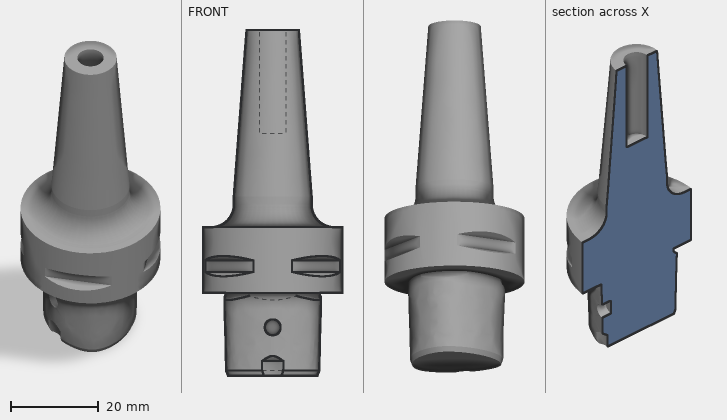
import cadquery as cq
import math

total_height = 79.0
flange_bottom = 18.95
flange_top = 34.0
cone_bottom = 40.9

flange_radius = 32.0 / 2
neck_radius = 8.9
nose_radius = 12.0 / 2
root_fillet = 5.05

bore_radius = 3.0
bore_depth = 23.7

lobe_height = 0.7
shank_mean_radius = 11.05
shank_end_mean_radius = 10.7
shank_tip_mean_radius = 10.2
taper_top = 16.5
tip_chamfer_height = 1.2

relief_radius = 10.8
relief_cylinder_bottom = 18.6
relief_corner_radius = 0.9
relief_ramp_radius = shank_mean_radius + lobe_height + 0.1

pocket_flat_distance = 14.0
pocket_mid_height = 25.05
pocket_floor_width = 2.6
pocket_mouth_width = 4.7
pocket_count = 4

side_hole_radius = 1.8
side_hole_height = 11.05
side_hole_depth = 2.8

notch_radius = 3.1
notch_offset = 11.7
notch_height = 3.3
notch_point_angle = 100.0


def upper_body():
    """Flange, filleted root and tapered nose as one turned solid."""
    fillet_top = flange_top + root_fillet
    arc_drop = root_fillet * math.sqrt(0.5)
    arc_middle = (neck_radius + root_fillet - arc_drop, fillet_top - arc_drop)
    return (
        cq.Workplane("XZ")
        .moveTo(0, flange_bottom)
        .lineTo(flange_radius, flange_bottom)
        .lineTo(flange_radius, flange_top)
        .lineTo(neck_radius + root_fillet, flange_top)
        .threePointArc(arc_middle, (neck_radius, fillet_top))
        .lineTo(neck_radius, cone_bottom)
        .lineTo(nose_radius, total_height)
        .lineTo(0, total_height)
        .close()
        .revolve(360, (0, 0, 0), (0, 1, 0))
    )


def lobed_wire(mean_radius, height):
    """Constant-width three-lobed outline, the envelope of its tangent lines."""

    def point(t):
        angle = 2 * math.pi * t - math.pi / 2
        tangent_distance = mean_radius - lobe_height * math.sin(3 * angle)
        slope = -3 * lobe_height * math.cos(3 * angle)
        return (
            tangent_distance * math.cos(angle) - slope * math.sin(angle),
            tangent_distance * math.sin(angle) + slope * math.cos(angle),
            height,
        )

    return cq.Workplane("XY").parametricCurve(point, N=72).val()


def lobed_section(lower_radius, lower_height, upper_radius, upper_height):
    """Solid between two lobed outlines."""
    lower = lobed_wire(lower_radius, lower_height)
    upper = lobed_wire(upper_radius, upper_height)
    return cq.Workplane(cq.Solid.makeLoft([lower, upper], True))


def shank():
    """Chamfered tip, taper and straight collar, with the lobes relieved under the flange."""
    tip = lobed_section(shank_tip_mean_radius, 0, shank_end_mean_radius, tip_chamfer_height)
    taper = lobed_section(shank_end_mean_radius, tip_chamfer_height, shank_mean_radius, taper_top)
    collar = lobed_section(shank_mean_radius, taper_top, shank_mean_radius, flange_bottom)
    ramp_top_height = relief_cylinder_bottom - relief_corner_radius * math.sqrt(0.5)
    ramp_top_radius = relief_radius + relief_corner_radius * (1 - math.sqrt(0.5))
    ramp_bottom = ramp_top_height - (relief_ramp_radius - ramp_top_radius)
    relief_envelope = (
        cq.Workplane("XZ")
        .moveTo(0, taper_top)
        .lineTo(relief_ramp_radius, taper_top)
        .lineTo(relief_ramp_radius, ramp_bottom)
        .lineTo(ramp_top_radius, ramp_top_height)
        .tangentArcPoint((relief_radius, relief_cylinder_bottom), relative=False)
        .lineTo(relief_radius, flange_bottom)
        .lineTo(0, flange_bottom)
        .close()
        .revolve(360, (0, 0, 0), (0, 1, 0))
    )
    return tip.union(taper).union(collar.intersect(relief_envelope))


def gripper_pocket(angle):
    """Flat-floored pocket with flaring walls, cut across the flange at the given angle."""
    floor = pocket_floor_width / 2
    mouth = pocket_mouth_width / 2
    return (
        cq.Workplane("XZ")
        .moveTo(pocket_flat_distance, pocket_mid_height - floor)
        .lineTo(flange_radius, pocket_mid_height - mouth)
        .lineTo(flange_radius, pocket_mid_height + mouth)
        .lineTo(pocket_flat_distance, pocket_mid_height + floor)
        .close()
        .extrude(flange_radius, both=True)
        .rotate((0, 0, 0), (0, 0, 1), angle)
    )


def key_notch():
    """Blind drilled hole with a conical end, open through the side of the shank."""
    point_height = notch_radius / math.tan(math.radians(notch_point_angle / 2))
    return (
        cq.Workplane("XZ")
        .lineTo(notch_radius, 0)
        .lineTo(notch_radius, notch_height)
        .lineTo(0, notch_height + point_height)
        .close()
        .revolve(360, (0, 0, 0), (0, 1, 0))
        .translate((0, -notch_offset, 0))
    )


def side_hole():
    """Blind radial hole in the -Y face, its depth measured from the nominal shank face."""
    face_distance = shank_mean_radius - lobe_height
    return (
        cq.Workplane("XZ", origin=(0, side_hole_depth - face_distance, 0))
        .center(0, side_hole_height)
        .circle(side_hole_radius)
        .extrude(shank_mean_radius)
    )


def tool_bore():
    """Blind bore from the nose face."""
    return (
        cq.Workplane("XY", origin=(0, 0, total_height - bore_depth))
        .circle(bore_radius)
        .extrude(bore_depth)
    )


body = upper_body().union(shank())
for index in range(pocket_count):
    body = body.cut(gripper_pocket(45 + index * 360 / pocket_count))

result = body.cut(key_notch()).cut(side_hole()).cut(tool_bore())